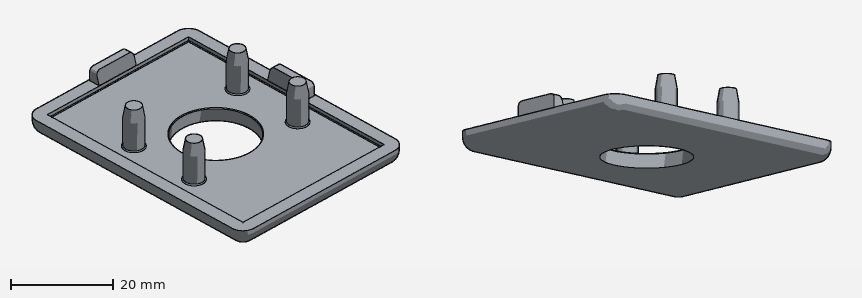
import cadquery as cq

length = 60.0
width = 45.0
plate_height = 4.0
corner_radius = 3.0
bottom_radius = 2.95

rim_width = 3.0
recess_depth = 1.0
recess_floor = plate_height - recess_depth
recess_foot_bevel = 0.2

hole_diameter = 18.35
hole_rim_bevel = 0.2

total_height = 12.5
pin_spacing_x = 16.6
pin_spacing_y = 28.6
pin_diameter = 4.4
pin_radius = pin_diameter / 2
pin_tip_radius = 1.7
pin_tip_height = 2.8
pin_foot_flare = 0.25

tab_length = 10.25
tab_height = 3.0
tab_top_thickness = 1.8
tab_base_thickness = 2.7
tab_corner_radius = 1.1
left_tab_inset = 0.25
back_tab_inset = 0.35


def make_plate():
    """Rounded plate with a bevel-footed recess and a bevelled central hole."""
    plate = (
        cq.Workplane("XY")
        .box(length, width, plate_height, centered=(True, True, False))
        .edges("|Z")
        .fillet(corner_radius)
        .faces("<Z")
        .edges()
        .fillet(bottom_radius)
    )
    recess = (
        cq.Workplane("XY")
        .workplane(offset=recess_floor)
        .rect(length - 2 * rim_width, width - 2 * rim_width)
        .extrude(recess_depth)
        .faces("<Z")
        .edges()
        .chamfer(recess_foot_bevel)
    )
    hole = cq.Workplane("XY").circle(hole_diameter / 2).extrude(plate_height)
    return (
        plate.cut(recess)
        .cut(hole)
        .edges("%CIRCLE")
        .edges(cq.selectors.NearestToPointSelector((0, 0, recess_floor)))
        .chamfer(hole_rim_bevel)
    )


def make_pin():
    """Pin on the Z axis with a flared foot and a tapered tip."""
    return (
        cq.Workplane("XZ")
        .moveTo(0, recess_floor)
        .lineTo(pin_radius + pin_foot_flare, recess_floor)
        .lineTo(pin_radius, recess_floor + pin_foot_flare)
        .lineTo(pin_radius, total_height - pin_tip_height)
        .lineTo(pin_tip_radius, total_height)
        .lineTo(0, total_height)
        .close()
        .revolve(360, (0, 0, 0), (0, 1, 0))
    )


def make_tab():
    """Tab along Y, upright outer face at X = 0, inner face sloping toward +X."""
    return (
        cq.Workplane("XZ")
        .moveTo(0, 0)
        .lineTo(tab_base_thickness, 0)
        .lineTo(tab_top_thickness, tab_height)
        .lineTo(0, tab_height)
        .close()
        .extrude(tab_length / 2, both=True)
        .faces(">Z")
        .edges("|X")
        .fillet(tab_corner_radius)
        .translate((0, 0, plate_height))
    )


result = make_plate()

for x_side in (-1, 1):
    for y_side in (-1, 1):
        pin_place = (x_side * pin_spacing_x / 2, y_side * pin_spacing_y / 2, 0)
        result = result.union(make_pin().translate(pin_place))

left_tab = make_tab().translate((-length / 2 + left_tab_inset, 0, 0))
back_tab = (
    make_tab()
    .rotate((0, 0, 0), (0, 0, 1), -90)
    .translate((0, width / 2 - back_tab_inset, 0))
)
result = result.union(left_tab).union(back_tab)